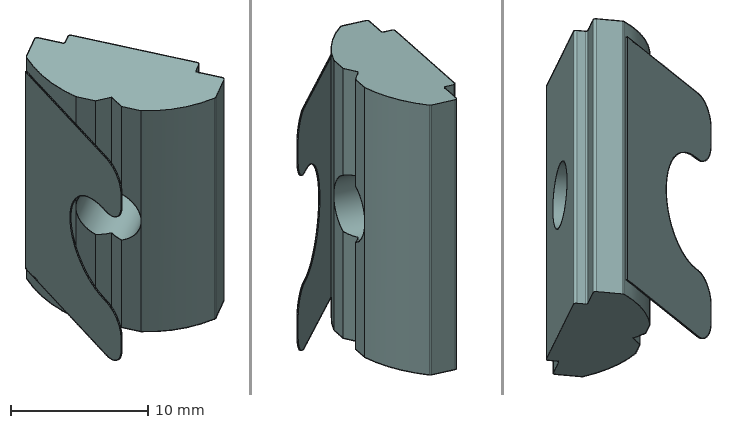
import cadquery as cq
import math

length = 22.0
body_width = 14.5
body_depth = 6.18
rail_width = 10.0
rail_height = 1.0
edge_radius = 0.2
rail_root_radius = 0.15
wall_end = 3.21
front_flat_width = 5.0
groove_width = 2.0
groove_depth = 0.73
hole_diameter = 5.0

leaf_angle = 40.0
leaf_thickness = 0.1
leaf_length = 13.0
leaf_height = 19.58
leaf_corner_radius = 2.0
leaf_overlap = 0.02
notch_radius = 4.49
notch_depth = 6.95
overall_depth = 11.85

half_width = body_width / 2
half_rail = rail_width / 2
half_flat = front_flat_width / 2
half_groove = groove_width / 2

arc_center_y = (half_width**2 + wall_end**2 - half_flat**2 - body_depth**2) / (2 * (body_depth - wall_end))
arc_radius = math.hypot(half_width, arc_center_y + wall_end)


def front_arc_point(x):
    return (x, arc_center_y - math.sqrt(arc_radius**2 - x**2))


def round_corners(body, corners, radius):
    """Round the lengthwise edges at these section corners and at their mirror images."""
    for x, y in corners:
        for side in (-1, 1):
            edge = cq.selectors.NearestToPointSelector((side * x, y, 0))
            body = body.edges("|Z").edges(edge).fillet(radius)
    return body


def make_body():
    arc_middle = (half_width + half_flat) / 2
    section = (
        cq.Workplane("XY")
        .moveTo(-half_rail, 0)
        .lineTo(half_rail, 0)
        .lineTo(half_rail, -rail_height)
        .lineTo(half_width, -rail_height)
        .lineTo(half_width, -wall_end)
        .threePointArc(front_arc_point(arc_middle), (half_flat, -body_depth))
        .lineTo(half_groove, -body_depth)
        .lineTo(0, groove_depth - body_depth)
        .lineTo(-half_groove, -body_depth)
        .lineTo(-half_flat, -body_depth)
        .threePointArc(front_arc_point(-arc_middle), (-half_width, -wall_end))
        .lineTo(-half_width, -rail_height)
        .lineTo(-half_rail, -rail_height)
        .close()
    )
    body = section.extrude(length / 2, both=True)
    outer_corners = [(half_rail, 0), (half_width, -rail_height), (half_width, -wall_end)]
    body = round_corners(body, outer_corners, edge_radius)
    body = round_corners(body, [(half_rail, -rail_height)], rail_root_radius)
    hole = cq.Workplane("XZ").circle(hole_diameter / 2).extrude(body_depth)
    return body.cut(hole)


def make_leaf():
    slope = math.radians(leaf_angle)
    inner_offset = arc_radius - leaf_overlap
    outer_offset = inner_offset + leaf_thickness
    tip = (overall_depth + arc_center_y - outer_offset * math.cos(slope)) / math.sin(slope)
    root = tip - leaf_length
    notch_center = tip - notch_depth + notch_radius

    plane = cq.Plane(
        origin=(0, arc_center_y, 0),
        xDir=(math.cos(slope), -math.sin(slope), 0),
        normal=(-math.sin(slope), -math.cos(slope), 0),
    )
    inner_face = cq.Workplane(plane).workplane(offset=inner_offset)
    blank = inner_face.center((root + tip) / 2, 0).rect(leaf_length, leaf_height).extrude(leaf_thickness)
    notch_end = inner_face.center(notch_center, 0).circle(notch_radius).extrude(leaf_thickness)
    notch_mouth = (
        inner_face.center((notch_center + tip) / 2, 0)
        .rect(tip - notch_center, 2 * notch_radius)
        .extrude(leaf_thickness)
    )
    forked = blank.cut(notch_end.union(notch_mouth))
    normal_edges = cq.selectors.ParallelDirSelector(plane.zDir)
    tip_faces = forked.faces(cq.selectors.DirectionMinMaxSelector(plane.xDir, True))
    return tip_faces.edges(normal_edges).fillet(leaf_corner_radius)


result = make_body().union(make_leaf())